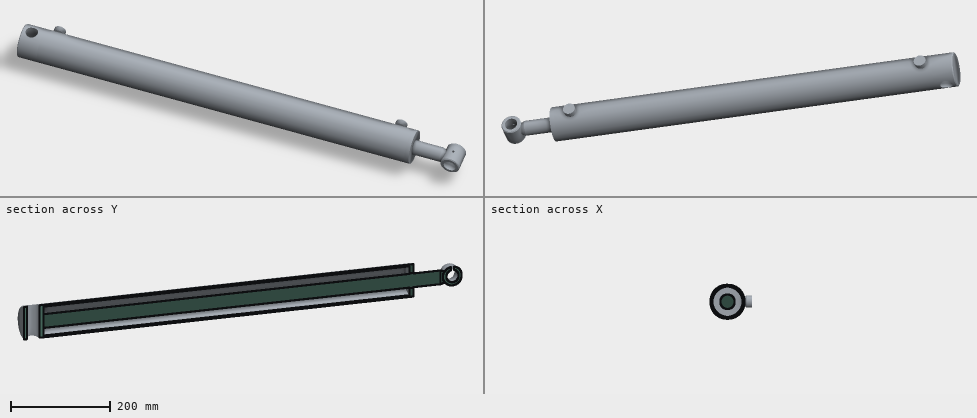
import cadquery as cq

total_length = 942.0
total_depth = 85.0

barrel_diameter = 70.0
barrel_radius = barrel_diameter / 2
tube_wall = 5.0
bore_diameter = barrel_diameter - 2 * tube_wall
cap_length = 43.0
cap_chamfer = 2.0
gland_start = 829.0
gland_end = 838.0

pin_hole_diameter = 25.0
cap_hole_x = 21.0

port_positions = (64.0, 794.0)
port_diameter = 24.5
port_neck_diameter = 19.0
port_taper_length = 3.0
port_top_y = total_depth - barrel_radius
port_shoulder_y = 39.0

rod_diameter = 30.0
rod_end = 897.0
eye_diameter = 40.5
eye_width = 45.0
eye_x = total_length - eye_diameter / 2
eye_chamfer = 2.0
collar_end_diameter = 23.0
collar_length = 9.0
grease_hole_diameter = 5.0


def x_cylinder(diameter, start, end):
    """Solid cylinder on the X axis."""
    return cq.Workplane("YZ", origin=(start, 0, 0)).circle(diameter / 2).extrude(end - start)


def y_cylinder(diameter, x, length):
    """Solid cylinder along Y, centred on the X axis at the given X."""
    return cq.Workplane("XZ", origin=(x, length / 2, 0)).circle(diameter / 2).extrude(length)


def make_end_cap():
    """Solid cap with a pin hole along Z and a chamfered outer end."""
    cap = x_cylinder(barrel_diameter, 0, cap_length).faces("<X").chamfer(cap_chamfer)
    pin_hole = (
        cq.Workplane("XY", origin=(cap_hole_x, 0, -barrel_radius))
        .circle(pin_hole_diameter / 2)
        .extrude(barrel_diameter)
    )
    return cap.cut(pin_hole)


def make_tube():
    """Open tube between the end cap and the gland."""
    outside = x_cylinder(barrel_diameter, cap_length, gland_start)
    return outside.cut(x_cylinder(bore_diameter, cap_length, gland_start))


def make_gland():
    """Ring that closes the tube around the rod."""
    outside = x_cylinder(barrel_diameter, gland_start, gland_end)
    return outside.cut(x_cylinder(rod_diameter, gland_start, gland_end))


def make_port(x):
    """Round boss that tapers to a neck, seated on the curved tube wall."""
    neck_y = port_shoulder_y - port_taper_length
    profile = (
        cq.Workplane("XY", origin=(x, 0, 0))
        .moveTo(0, 0)
        .lineTo(port_neck_diameter / 2, 0)
        .lineTo(port_neck_diameter / 2, neck_y)
        .lineTo(port_diameter / 2, port_shoulder_y)
        .lineTo(port_diameter / 2, port_top_y)
        .lineTo(0, port_top_y)
        .close()
    )
    boss = profile.revolve(360, (0, 0, 0), (0, 1, 0))
    return boss.cut(x_cylinder(barrel_diameter, 0, total_length))


def make_rod():
    """Rod that runs from the end cap through the gland."""
    return x_cylinder(rod_diameter, cap_length, rod_end)


def make_collar():
    """Tapered collar that joins the rod end to the round side of the eye."""
    cone = (
        cq.Workplane("YZ", origin=(rod_end, 0, 0))
        .circle(rod_diameter / 2)
        .workplane(offset=collar_length)
        .circle(collar_end_diameter / 2)
        .loft()
    )
    return cone.cut(y_cylinder(eye_diameter, eye_x, eye_width))


def make_eye():
    """Rod eye with a pin hole along Y and a grease hole in its upper wall."""
    outside = y_cylinder(eye_diameter, eye_x, eye_width).faces("<Y or >Y").chamfer(eye_chamfer)
    eye = outside.cut(y_cylinder(pin_hole_diameter, eye_x, eye_width))
    grease_hole = (
        cq.Workplane("XY", origin=(eye_x, 0, 0))
        .circle(grease_hole_diameter / 2)
        .extrude(eye_diameter)
    )
    return eye.cut(grease_hole)


end_cap = make_end_cap()
tube = make_tube()
gland = make_gland()
ports = [make_port(x) for x in port_positions]
rod = make_rod()
collar = make_collar()
eye = make_eye()

result = cq.Compound.makeCompound(
    [
        end_cap.val(),
        tube.val(),
        gland.val(),
        *[port.val() for port in ports],
        rod.val(),
        collar.val(),
        eye.val(),
    ]
)